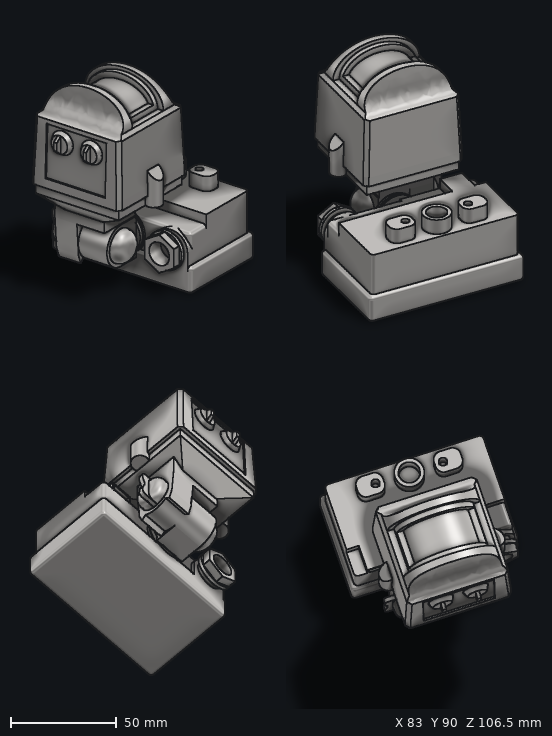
import cadquery as cq
import math

EDGE = 2.0

BASE_X, BASE_Y, FLANGE_TOP = 83.0, 50.1, 14.1
DECK_TOP = 36.1
HOUSING_X = BASE_X - 2 * EDGE
HOUSING_FRONT, HOUSING_BACK = EDGE, BASE_Y - EDGE
NOTCH_BACK, NOTCH_FLOOR = 14.7, 30.9
TONGUE_LEFT, TONGUE_RIGHT = -33.3, -21.4
WINDOW_WALL, WINDOW_DEPTH = 1.0, 11.7

POST_TOP = 44.0
POST_ROW_Y = 39.2
POST_X, POST_SIZE_X, POST_SIZE_Y, POST_CORNER = 19.4, 13.3, 10.4, 4.0
POST_HOLE_X, POST_HOLE_R = 16.8, 2.0
TUBE_R, TUBE_BORE_R = 7.1, 5.1

GLAND_X, GLAND_Z = 29.5, 21.6
GLAND_BOSS_LEFT, GLAND_BOSS_ROUND = 19.5, 9.5
GLAND_NECK_R, GLAND_NECK_END = 7.5, -2.9
GLAND_WASHER_R, GLAND_WASHER_END = 10.0, -4.8
GLAND_HEX_FLATS, GLAND_HEX_END = 17.4, -9.0
GLAND_BORE_R = 6.0

PIVOT_Y, PIVOT_Z = -13.3, 21.9
KNUCKLE_R = 10.9
CHEEK_LEFT, CHEEK_RIGHT, KNUCKLE_RIGHT = -20.0, -7.0, 9.9
KNUCKLE_BACK = -1.3
DISC_R, DISC_STEP = 11.4, 0.7
NECK_RIGHT, NECK_HALF_Y = 9.4, 12.0
CHEEK_KNEE_HALF_Y, CHEEK_KNEE_Z = 10.8, 16.2
CHEEK_FOOT_HALF_Y = 9.0
CHEEK_CUSP_HALF_Y = 6.7
SCREW_Z, SCREW_R, SCREW_LENGTH, SCREW_ROUND = 22.4, 8.5, 6.0, 3.9
CAP_R, CAP_LENGTH = 8.8, 6.3
WING_LEFT, WING_THICK, WING_CORNER = -29.9, 2.3, EDGE
WAVE_HALF_Z, WAVE_DEPTH = 5.5, 1.4

HEAD_Y = -9.6
HEAD_BOTTOM, SKIRT_BOTTOM, SKIRT_TOP, SHOULDER_Z = 47.5, 53.0, 57.9, 88.6
SKIRT_HALF, SHOULDER_HALF = 26.4, 25.2
HOOD_SLOPE = (SKIRT_HALF - SHOULDER_HALF) / (SHOULDER_Z - SKIRT_TOP)
SKIRT_FLARE = HOOD_SLOPE * (SKIRT_TOP - SKIRT_BOTTOM)
PLINTH_HALF = SKIRT_HALF - 1.7
HOPPER_BOTTOM, HOPPER_LEFT, HOPPER_RIGHT = 38.4, -14.0, 8.5

PEG_X, PEG_R, PEG_SIDE_Z = 26.7, 4.5, 61.1

TOP_Z, ARCH_BASE = 106.5, 90.5
ARCH_HALF_X, ARCH_HALF_Y = 23.2, 16.0
GAP_HALF_Y = 12.1
RIM_HALF_X, RIM_RISE = 19.8, 14.1
ROLLER_HALF_X, ROLLER_RISE, ROLLER_HALF_Y = 16.8, 10.8, 9.3
TROUGH_FLOOR = 93.5

PANEL_HALF_X, PANEL_BOTTOM, PANEL_TOP, PANEL_DEPTH = 17.8, 57.9, 86.3, 1.0
KNOB_XS, KNOB_Z = (-8.7, 8.6), 78.5
KNOB_BACK_R, KNOB_FACE_R = 6.3, 4.8
KNOB_FACE_Y, GRIP_TIP_Y = -36.8, -39.9
GRIP_WIDTH, GRIP_TIP_HALF = 1.8, 2.2


def block(x0, x1, y0, y1, z0, z1):
    """Box between two corners."""
    return cq.Workplane("XY").box(x1 - x0, y1 - y0, z1 - z0, centered=False).translate((x0, y0, z0))


def rod_y(x, z, radius, y0, y1):
    """Round rod along Y."""
    return cq.Workplane("XZ", origin=(x, y0, z)).circle(radius).extrude(y0 - y1)


def rod_x(y, z, radius, x0, x1):
    """Round rod along X."""
    return cq.Workplane("YZ", origin=(x0, y, z)).circle(radius).extrude(x1 - x0)


def oval_y(half_x, rise, half_y):
    """Elliptical rod along Y, centred on the head at the foot of the arch."""
    plane = cq.Workplane("XZ", origin=(0, HEAD_Y + half_y, ARCH_BASE))
    return plane.ellipse(half_x, rise).extrude(2 * half_y)


def chamfered_square(plane, half, flare=0.0):
    """Square outline with equal corner chamfers; flare moves the front side outwards."""
    flat = half - EDGE
    front, front_flat = -half - flare, -flat - flare
    return plane.polyline([
        (-half, front_flat), (-flat, front), (flat, front), (half, front_flat),
        (half, flat), (flat, half), (-flat, half), (-half, flat),
    ]).close()


def base():
    half = HOUSING_X / 2
    flange = block(-BASE_X / 2, BASE_X / 2, 0, BASE_Y, 0, FLANGE_TOP).edges().fillet(EDGE)
    rear = block(-half, half, NOTCH_BACK, HOUSING_BACK, EDGE, DECK_TOP).edges("|Z and >Y").fillet(EDGE)
    front_left = block(-half, 0, HOUSING_FRONT, NOTCH_BACK, EDGE, NOTCH_FLOOR)
    front_left = front_left.edges("|Z and <X and <Y").fillet(EDGE)
    front_right = block(0, half, HOUSING_FRONT, NOTCH_BACK, EDGE, NOTCH_FLOOR)
    front_right = front_right.edges("(>X and <Y) or (>Z and <Y) or (>Z and >X)").fillet(EDGE)
    tongue = block(TONGUE_LEFT, TONGUE_RIGHT, HOUSING_FRONT, NOTCH_BACK, EDGE, DECK_TOP)
    window = block(
        TONGUE_LEFT + WINDOW_WALL, TONGUE_RIGHT - WINDOW_WALL,
        HOUSING_FRONT, HOUSING_FRONT + WINDOW_DEPTH,
        NOTCH_FLOOR, DECK_TOP - WINDOW_WALL,
    )
    body = flange.union(rear).union(front_left).union(front_right).union(tongue)
    return body.cut(window).union(deck_posts())


def deck_posts():
    height = POST_TOP - DECK_TOP
    deck = cq.Workplane("XY", origin=(0, POST_ROW_Y, DECK_TOP))
    posts = deck.circle(TUBE_R).circle(TUBE_BORE_R).extrude(height)
    for side in (-1, 1):
        post = deck.center(side * POST_X, 0).rect(POST_SIZE_X, POST_SIZE_Y).extrude(height)
        post = post.edges("|Z").fillet(POST_CORNER)
        hole = deck.center(side * POST_HOLE_X, 0).circle(POST_HOLE_R).extrude(height)
        posts = posts.union(post.cut(hole))
    return posts


def cable_gland():
    boss_back = HOUSING_FRONT + EDGE
    boss = block(GLAND_BOSS_LEFT, HOUSING_X / 2, 0, boss_back, FLANGE_TOP / 2, NOTCH_FLOOR)
    boss = boss.edges("|Y and >Z").fillet(GLAND_BOSS_ROUND)
    neck = rod_y(GLAND_X, GLAND_Z, GLAND_NECK_R, GLAND_NECK_END, 0)
    washer = rod_y(GLAND_X, GLAND_Z, GLAND_WASHER_R, GLAND_WASHER_END, GLAND_NECK_END)
    corner_diameter = GLAND_HEX_FLATS / math.cos(math.pi / 6)
    nut = (
        cq.Workplane("XZ", origin=(GLAND_X, GLAND_WASHER_END, GLAND_Z))
        .transformed(rotate=(0, 0, 90))
        .polygon(6, corner_diameter)
        .extrude(GLAND_WASHER_END - GLAND_HEX_END)
    )
    bore = rod_y(GLAND_X, GLAND_Z, GLAND_BORE_R, GLAND_HEX_END, 0)
    return boss.union(neck).union(washer).union(nut).cut(bore)


def knuckle():
    disc_x = (CHEEK_RIGHT + KNUCKLE_RIGHT) / 2
    large_disc = rod_y(disc_x, PIVOT_Z, DISC_R, DISC_STEP, HOUSING_FRONT)
    small_disc = rod_y(disc_x, PIVOT_Z, KNUCKLE_R, KNUCKLE_BACK, DISC_STEP)
    barrel = rod_x(PIVOT_Y, PIVOT_Z, KNUCKLE_R, CHEEK_RIGHT, KNUCKLE_RIGHT)
    lug = block(
        CHEEK_RIGHT, KNUCKLE_RIGHT, PIVOT_Y, KNUCKLE_BACK,
        PIVOT_Z - KNUCKLE_R, PIVOT_Z + KNUCKLE_R,
    )
    return large_disc.union(small_disc).union(barrel).union(lug)


def neck_and_cheek():
    top = PIVOT_Z + KNUCKLE_R
    foot = PIVOT_Z - KNUCKLE_R
    cusp = PIVOT_Z - math.sqrt(KNUCKLE_R ** 2 - CHEEK_CUSP_HALF_Y ** 2)
    neck = block(CHEEK_LEFT, NECK_RIGHT, PIVOT_Y - NECK_HALF_Y, PIVOT_Y + NECK_HALF_Y, top, HEAD_BOTTOM)
    cheek = (
        cq.Workplane("YZ", origin=(CHEEK_LEFT, PIVOT_Y, 0))
        .moveTo(-NECK_HALF_Y, top)
        .lineTo(-CHEEK_KNEE_HALF_Y, CHEEK_KNEE_Z)
        .lineTo(-CHEEK_FOOT_HALF_Y, foot)
        .lineTo(-CHEEK_CUSP_HALF_Y, cusp)
        .threePointArc((0, foot), (CHEEK_CUSP_HALF_Y, cusp))
        .lineTo(CHEEK_FOOT_HALF_Y, foot)
        .lineTo(CHEEK_KNEE_HALF_Y, CHEEK_KNEE_Z)
        .lineTo(NECK_HALF_Y, top)
        .close()
        .extrude(CHEEK_RIGHT - CHEEK_LEFT)
    )
    return neck.union(cheek)


def pivot_screw():
    head = rod_x(PIVOT_Y, SCREW_Z, SCREW_R, CHEEK_LEFT - SCREW_LENGTH, CHEEK_LEFT)
    head = head.faces("<X").edges().fillet(SCREW_ROUND)
    return head.union(thumb_wing()).union(domed_cap())


def domed_cap():
    """Cap whose rim rounds all the way from the knuckle to a small flat end."""
    return (
        cq.Workplane("XY", origin=(KNUCKLE_RIGHT, PIVOT_Y, PIVOT_Z))
        .lineTo(0, CAP_R)
        .radiusArc((CAP_LENGTH, CAP_R - CAP_LENGTH), CAP_LENGTH)
        .lineTo(CAP_LENGTH, 0)
        .close()
        .revolve(360, (0, 0, 0), (1, 0, 0))
    )


def thumb_wing():
    """Thin blade across the screw head with a wavy outer edge."""
    corner_x = WING_LEFT + WING_CORNER
    corner_z = SCREW_R - WING_CORNER
    return (
        cq.Workplane("XZ", origin=(0, PIVOT_Y + WING_THICK / 2, SCREW_Z))
        .moveTo(CHEEK_LEFT, -SCREW_R)
        .lineTo(corner_x, -SCREW_R)
        .radiusArc((WING_LEFT, -corner_z), WING_CORNER)
        .lineTo(WING_LEFT, -WAVE_HALF_Z)
        .spline(
            [(WING_LEFT + WAVE_DEPTH, 0), (WING_LEFT, WAVE_HALF_Z)],
            tangents=[(0, 1), (0, 1)],
            includeCurrent=True,
        )
        .lineTo(WING_LEFT, corner_z)
        .radiusArc((corner_x, SCREW_R), WING_CORNER)
        .lineTo(CHEEK_LEFT, SCREW_R)
        .close()
        .extrude(WING_THICK)
    )


def head_shell():
    skirt_plane = cq.Workplane("XY", origin=(0, HEAD_Y, SKIRT_BOTTOM))
    skirt = chamfered_square(skirt_plane, SKIRT_HALF, SKIRT_FLARE)
    skirt = skirt.workplane(offset=SKIRT_TOP - SKIRT_BOTTOM)
    skirt = chamfered_square(skirt, SKIRT_HALF).loft(ruled=True)
    hood_plane = cq.Workplane("XY", origin=(0, HEAD_Y, SKIRT_TOP))
    hood = chamfered_square(hood_plane, SKIRT_HALF).workplane(offset=SHOULDER_Z - SKIRT_TOP)
    hood = chamfered_square(hood, SHOULDER_HALF).loft(ruled=True)
    plinth = block(
        -PLINTH_HALF, PLINTH_HALF, HEAD_Y - PLINTH_HALF, HEAD_Y + PLINTH_HALF,
        HEAD_BOTTOM, SKIRT_BOTTOM,
    )
    return skirt.union(hood).union(plinth).union(hopper())


def hopper():
    """Lopsided funnel from the plinth down to the neck."""
    width = HOPPER_RIGHT - HOPPER_LEFT
    shift_x = (HOPPER_LEFT + HOPPER_RIGHT) / 2
    return (
        cq.Workplane("XY", origin=(0, HEAD_Y, HEAD_BOTTOM))
        .rect(2 * PLINTH_HALF, 2 * PLINTH_HALF)
        .workplane(offset=HOPPER_BOTTOM - HEAD_BOTTOM)
        .center(shift_x, PIVOT_Y - HEAD_Y)
        .rect(width, 2 * NECK_HALF_Y)
        .loft(ruled=True)
    )


def side_peg(side):
    """Round peg, half sunk into the head, with its top cut at 45 degrees."""
    outer = side * (PEG_X + PEG_R)
    inner = side * (PEG_X - PEG_R)
    peg = (
        cq.Workplane("XY", origin=(side * PEG_X, HEAD_Y, HEAD_BOTTOM))
        .circle(PEG_R)
        .extrude(PEG_SIDE_Z + 2 * PEG_R - HEAD_BOTTOM)
    )
    profile = (
        cq.Workplane("XZ", origin=(0, HEAD_Y + PEG_R, 0))
        .polyline([
            (inner, HEAD_BOTTOM), (outer, HEAD_BOTTOM),
            (outer, PEG_SIDE_Z), (inner, PEG_SIDE_Z + 2 * PEG_R),
        ])
        .close()
        .extrude(2 * PEG_R)
    )
    return peg.intersect(profile)


def arched_cap():
    """Arch along Y whose front and back are hollowed by elliptical sweeps."""
    octagon = cq.Workplane("XY", origin=(0, HEAD_Y, SHOULDER_Z))
    octagon = chamfered_square(octagon, SHOULDER_HALF).extrude(TOP_Z - SHOULDER_Z)
    eaves = (
        cq.Workplane("XZ", origin=(0, HEAD_Y + SHOULDER_HALF, 0))
        .polyline([
            (-SHOULDER_HALF, SHOULDER_Z), (SHOULDER_HALF, SHOULDER_Z),
            (ARCH_HALF_X, ARCH_BASE), (-ARCH_HALF_X, ARCH_BASE),
        ])
        .close()
        .extrude(2 * SHOULDER_HALF)
    )
    arch = oval_y(ARCH_HALF_X, TOP_Z - ARCH_BASE, SHOULDER_HALF)
    cap = eaves.union(arch).intersect(octagon)
    for side in (-1, 1):
        hollow = (
            cq.Workplane("YZ", origin=(-SHOULDER_HALF, HEAD_Y + side * SHOULDER_HALF, TOP_Z))
            .ellipse(SHOULDER_HALF - ARCH_HALF_Y, TOP_Z - SHOULDER_Z)
            .extrude(2 * SHOULDER_HALF)
        )
        cap = cap.cut(hollow)
    return cap


def cap_slot(half_y, floor):
    """Space across the cap above a given level."""
    return block(-SKIRT_HALF, SKIRT_HALF, HEAD_Y - half_y, HEAD_Y + half_y, floor, TOP_Z)


def roller_cap():
    rim = oval_y(RIM_HALF_X, RIM_RISE, GAP_HALF_Y).intersect(cap_slot(GAP_HALF_Y, ARCH_BASE))
    rim = rim.cut(cap_slot(ROLLER_HALF_Y, TROUGH_FLOOR))
    roller = oval_y(ROLLER_HALF_X, ROLLER_RISE, ROLLER_HALF_Y)
    roller = roller.intersect(cap_slot(ROLLER_HALF_Y, ARCH_BASE))
    return arched_cap().cut(cap_slot(GAP_HALF_Y, ARCH_BASE)).union(rim).union(roller)


def face_y(z):
    """Y of the sloping front face of the hood at height z."""
    return HEAD_Y - SKIRT_HALF + HOOD_SLOPE * (z - SKIRT_TOP)


def panel_recess():
    low, high = face_y(PANEL_BOTTOM), face_y(PANEL_TOP)
    return (
        cq.Workplane("YZ", origin=(-PANEL_HALF_X, 0, 0))
        .polyline([
            (low - PANEL_DEPTH, PANEL_BOTTOM), (low + PANEL_DEPTH, PANEL_BOTTOM),
            (high + PANEL_DEPTH, PANEL_TOP), (high - PANEL_DEPTH, PANEL_TOP),
        ])
        .close()
        .extrude(2 * PANEL_HALF_X)
    )


def knob(x):
    back_y = face_y(KNOB_Z) + PANEL_DEPTH
    dial = (
        cq.Workplane("XZ", origin=(x, back_y, KNOB_Z))
        .circle(KNOB_BACK_R)
        .workplane(offset=back_y - KNOB_FACE_Y)
        .circle(KNOB_FACE_R)
        .loft()
    )
    root = rod_y(x, KNOB_Z, KNOB_FACE_R, KNOB_FACE_Y, back_y + PANEL_DEPTH)
    grip = (
        cq.Workplane("YZ", origin=(x - GRIP_WIDTH / 2, 0, KNOB_Z))
        .polyline([
            (KNOB_FACE_Y, -KNOB_FACE_R), (KNOB_FACE_Y, KNOB_FACE_R),
            (GRIP_TIP_Y, GRIP_TIP_HALF), (GRIP_TIP_Y, -GRIP_TIP_HALF),
        ])
        .close()
        .extrude(GRIP_WIDTH)
    )
    return dial.union(root).union(grip)


head = head_shell().cut(panel_recess()).union(roller_cap())
for peg_side in (-1, 1):
    head = head.union(side_peg(peg_side))
for knob_x in KNOB_XS:
    head = head.union(knob(knob_x))

joint = knuckle().union(neck_and_cheek()).union(pivot_screw())
result = base().union(cable_gland()).union(joint).union(head)